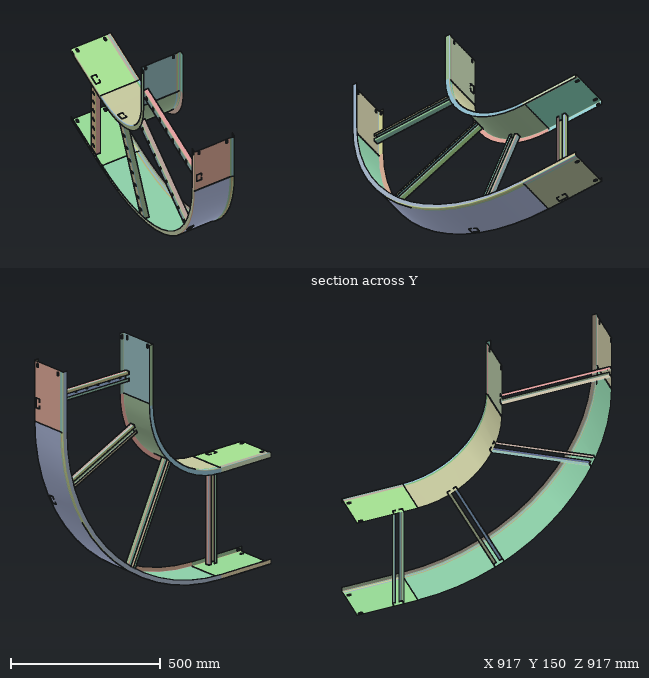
import cadquery as cq

leg_length = 218.0
outer_back_radius = 699.0
inner_back_radius = 299.0

rail_depth = 150.0
sheet = 1.5
inside_corner_radius = 1.0
corner_radius = inside_corner_radius + sheet
flange_width = 18.0
step_start = 133.0
step_end = 144.0
leg_step = 2.0
bend_shift = 1.0

end_slot_length = 15.0
end_slot_width = 7.0
end_slot_inset = 15.0
web_slot_depths = (17.0, 121.0)
flange_slot_offset = 9.0

rung_width = 37.0
rung_depth = 19.0
rung_front = 8.0
rung_mouth = 13.0
leg_rung_distance = 68.0
bend_rung_angles = (25, 65)

rung_slot_count = 8
rung_slot_pitch = 49.0
rung_slot_length = 14.0
rung_slot_width = 7.0
first_rung_slot = 325.5

OUTWARD = 1
INWARD = -1

inner_leg_web = inner_back_radius + OUTWARD * leg_step
outer_leg_web = outer_back_radius + INWARD * leg_step
inner_bend_web = inner_leg_web - bend_shift
outer_bend_web = outer_leg_web - bend_shift


def turned(shape, angle):
    """The shape turned about the bend axis, from the +X direction towards -Z."""
    return shape.rotate((0, 0, 0), (0, 1, 0), angle)


def on_level_leg(shape):
    """Copy of an upright-leg shape, mirrored onto the leg along -X."""
    return turned(shape.mirror("XY"), 90)


def rail_section(web, back, side):
    """Outline of a rail section, with X as the distance from the bend centre."""
    front_tip = web + side * flange_width
    back_tip = back + side * flange_width
    web_corner = web + side * corner_radius
    back_corner = back + side * corner_radius
    web_inside = web + side * sheet
    back_inside = back + side * sheet
    half_step = (back - web) / 2
    step_middle = (step_start + step_end) / 2
    outline = (
        cq.Workplane("XY")
        .moveTo(front_tip, 0)
        .lineTo(web_corner, 0)
        .tangentArcPoint((web, corner_radius), relative=False)
        .lineTo(web, step_start)
        .tangentArcPoint((web + half_step, step_middle), relative=False)
        .tangentArcPoint((back, step_end), relative=False)
        .lineTo(back, rail_depth - corner_radius)
        .tangentArcPoint((back_corner, rail_depth), relative=False)
        .lineTo(back_tip, rail_depth)
        .lineTo(back_tip, rail_depth - sheet)
        .lineTo(back_corner, rail_depth - sheet)
        .tangentArcPoint((back_inside, rail_depth - corner_radius), relative=False)
        .lineTo(back_inside, step_end)
        .tangentArcPoint((web_inside + half_step, step_middle), relative=False)
        .tangentArcPoint((web_inside, step_start), relative=False)
        .lineTo(web_inside, corner_radius)
        .tangentArcPoint((web_corner, sheet), relative=False)
        .lineTo(front_tip, sheet)
    )
    return outline.close()


def end_slots(web, side):
    """Cutters for the slots at the free end of the upright leg."""
    slot_height = leg_length - end_slot_inset
    web_slots = (
        cq.Workplane("YZ", origin=(web, 0, 0))
        .pushPoints([(depth, slot_height) for depth in web_slot_depths])
        .slot2D(end_slot_length, end_slot_width, 90)
        .extrude(2 * sheet, both=True)
    )
    flange_slot = (
        cq.Workplane("XZ")
        .center(web + side * flange_slot_offset, slot_height)
        .slot2D(end_slot_length, end_slot_width, 90)
        .extrude(2 * sheet, both=True)
    )
    return web_slots.union(flange_slot)


def rail(leg_web, bend_web, back, side):
    """One rail: an upright leg, the quarter bend and a level leg."""
    leg = rail_section(leg_web, back, side).extrude(leg_length)
    leg = leg.cut(end_slots(leg_web, side))
    bend = rail_section(bend_web, back, side).revolve(90, (0, 0, 0), (0, 1, 0))
    return leg.union(bend, clean=False).union(on_level_leg(leg), clean=False)


def rung(start, end):
    """A straight rung along +X, between two distances from the bend centre."""
    channel = (
        cq.Workplane("YZ", origin=(start, rung_front + rung_depth / 2, 0))
        .rect(rung_depth, rung_width)
        .extrude(end - start)
        .edges("|X")
        .fillet(corner_radius)
    )
    hollow = (
        cq.Workplane("YZ", origin=(start, rung_front + rung_depth / 2, 0))
        .rect(rung_depth - 2 * sheet, rung_width - 2 * sheet)
        .extrude(end - start)
        .edges("|X")
        .fillet(inside_corner_radius)
    )
    mouth = (
        cq.Workplane("YZ", origin=(start, rung_front + rung_depth, 0))
        .rect(rung_depth, rung_mouth)
        .extrude(end - start)
    )
    slots = (
        cq.Workplane("XZ", origin=(0, rung_front, 0))
        .pushPoints([(first_rung_slot + i * rung_slot_pitch, 0) for i in range(rung_slot_count)])
        .rect(rung_slot_width, rung_slot_length)
        .extrude(2 * sheet, both=True)
    )
    return channel.cut(hollow).cut(mouth).cut(slots)


def leg_rung():
    """The rung across the upright leg."""
    return rung(inner_leg_web, outer_leg_web).translate((0, 0, leg_rung_distance))


def bend_rung(angle):
    """A rung across the bend, its ends rounded to lie flush with the curved webs."""
    between_webs = (
        cq.Workplane("XZ")
        .circle(outer_bend_web)
        .circle(inner_bend_web)
        .extrude(-rail_depth)
    )
    blank = rung(inner_bend_web - rung_width, outer_bend_web)
    return turned(blank.intersect(between_webs), angle)


rungs = [leg_rung(), on_level_leg(leg_rung())]
for angle in bend_rung_angles:
    rungs.append(bend_rung(angle))

inner_rail = rail(inner_leg_web, inner_bend_web, inner_back_radius, OUTWARD)
outer_rail = rail(outer_leg_web, outer_bend_web, outer_back_radius, INWARD)

for one_rung in rungs:
    inner_rail = inner_rail.cut(one_rung, clean=False)
    outer_rail = outer_rail.cut(one_rung, clean=False)

bodies = [inner_rail, outer_rail] + rungs
result = cq.Compound.makeCompound([body.solids().val() for body in bodies])